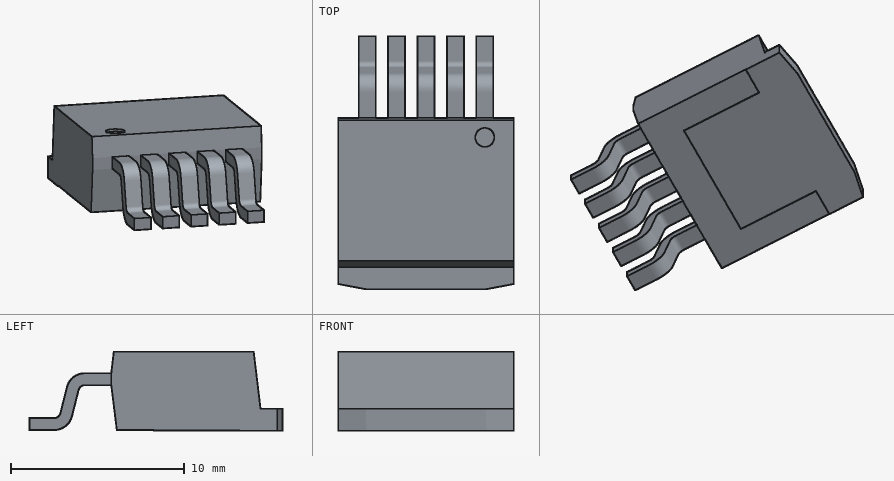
import cadquery as cq
import math

width = 10.16
length = 14.64
height = 4.58
standoff = 0.05

tab_thickness = 1.29
tab_corner_x = 1.63
tab_corner_y = 0.31
tab_end_y = 2.52
pad_end_y = 7.45
pad_width = width - 2 * tab_corner_x

body_front_y = 1.27
body_front_top_y = 1.67
body_back_y = 9.91
body_back_top_y = 9.76
body_back_bottom_y = 9.59

lead_count = 5
lead_pitch = 1.7
lead_width = 1.0
lead_thickness = 0.7
lead_top_z = 3.34
inner_radius = 0.37
outer_radius = inner_radius + lead_thickness
foot_bend_y = 13.2
shoulder_bend_y = 11.43
lead_bottom_z = lead_top_z - lead_thickness

mark_diameter = 1.1
mark_depth = 0.15
mark_x = lead_pitch * (lead_count - 1) / 2
mark_y = 8.78


def extrude_across(profile, feature_width, center_x=0):
    """Extrude a YZ profile symmetrically about center_x."""
    solid = profile.close().extrude(feature_width / 2, both=True)
    return solid.translate((center_x, 0, 0))


def make_body():
    profile = cq.Workplane("YZ").polyline([
        (body_front_y, standoff),
        (body_front_y, tab_thickness),
        (body_front_top_y, height),
        (body_back_top_y, height),
        (body_back_y, lead_top_z),
        (body_back_y, lead_bottom_z),
        (body_back_bottom_y, standoff),
    ])
    return extrude_across(profile, width)


def make_tab():
    half = width / 2
    tab = cq.Workplane("XY").polyline([
        (-half + tab_corner_x, 0),
        (half - tab_corner_x, 0),
        (half, tab_corner_y),
        (half, tab_end_y),
        (-half, tab_end_y),
        (-half, tab_corner_y),
    ]).close().extrude(tab_thickness)
    pad = cq.Workplane("XY").box(pad_width, pad_end_y, tab_thickness, centered=(True, False, False))
    return tab.union(pad)


def make_lead(center_x):
    """Gull-wing lead: two concentric-arc bends joined by their common tangents."""
    foot_top_z = standoff + lead_thickness
    foot_center = (foot_bend_y, foot_top_z + inner_radius)
    shoulder_center = (shoulder_bend_y, lead_top_z - outer_radius)
    run = foot_center[0] - shoulder_center[0]
    rise = shoulder_center[1] - foot_center[1]
    tangent_offset = math.acos((inner_radius + outer_radius) / math.hypot(run, rise))
    bend_angle = math.pi / 2 + math.atan2(rise, run) - tangent_offset

    def foot_point(radius, angle):
        return (foot_center[0] - radius * math.sin(angle), foot_center[1] - radius * math.cos(angle))

    def shoulder_point(radius, angle):
        return (shoulder_center[0] + radius * math.sin(angle), shoulder_center[1] + radius * math.cos(angle))

    half_angle = bend_angle / 2
    profile = (
        cq.Workplane("YZ")
        .moveTo(length, standoff)
        .lineTo(length, foot_top_z)
        .lineTo(*foot_point(inner_radius, 0))
        .threePointArc(foot_point(inner_radius, half_angle), foot_point(inner_radius, bend_angle))
        .lineTo(*shoulder_point(outer_radius, bend_angle))
        .threePointArc(shoulder_point(outer_radius, half_angle), shoulder_point(outer_radius, 0))
        .lineTo(body_back_bottom_y, lead_top_z)
        .lineTo(body_back_bottom_y, lead_bottom_z)
        .lineTo(*shoulder_point(inner_radius, 0))
        .threePointArc(shoulder_point(inner_radius, half_angle), shoulder_point(inner_radius, bend_angle))
        .lineTo(*foot_point(outer_radius, bend_angle))
        .threePointArc(foot_point(outer_radius, half_angle), foot_point(outer_radius, 0))
    )
    return extrude_across(profile, lead_width, center_x)


def make_mark():
    floor = cq.Workplane("XY", origin=(mark_x, mark_y, height - mark_depth))
    return floor.circle(mark_diameter / 2).extrude(mark_depth)


result = make_body().union(make_tab())
for index in range(lead_count):
    result = result.union(make_lead((index - (lead_count - 1) / 2) * lead_pitch))
result = result.cut(make_mark())